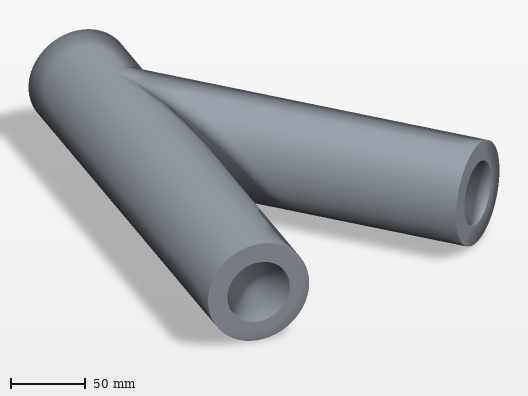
import cadquery as cq

run_length = 330.2
outer_diameter = 73.0
bore_diameter = 45.0
branch_start = 63.0
branch_length = 266.8
branch_angle = 45.0



def rods(diameter):
    """Return the run and the angled branch as one solid of the given diameter."""
    run = cq.Workplane("YZ").circle(diameter / 2).extrude(run_length)
    branch = (
        cq.Workplane("YZ")
        .circle(diameter / 2)
        .extrude(branch_length)
        .rotate((0, 0, 0), (0, 0, 1), branch_angle)
        .translate((branch_start, 0, 0))
    )
    return run.union(branch)


result = rods(outer_diameter).cut(rods(bore_diameter))